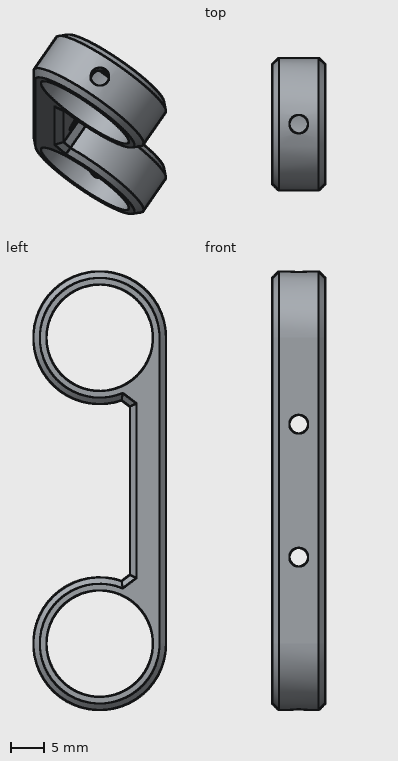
import cadquery as cq
import math

length = 66.0
width = 8.0
ring_diameter = 20.0
bore_diameter = 16.0
bar_thickness = 5.5
edge_chamfer = 1.0

hole_diameter = 2.8
bar_hole_spacing = 20.0

slant_start_y = -3.3
slant_end_offset = 10.35

ring_radius = ring_diameter / 2
ring_z = length / 2 - ring_radius
bar_outer_y = -ring_radius
bar_inner_y = bar_outer_y + bar_thickness
slant_start_z = ring_z - math.sqrt(ring_radius**2 - slant_start_y**2)
slant_end_z = ring_z - slant_end_offset


def make_body():
    """Solid outline of the rings and bar, chamfered around both end faces."""
    outline = (
        cq.Workplane("YZ")
        .workplane(offset=-width / 2)
        .moveTo(bar_outer_y, -ring_z)
        .lineTo(bar_outer_y, ring_z)
        .threePointArc((0, length / 2), (ring_radius, ring_z))
        .threePointArc((0, ring_z - ring_radius), (slant_start_y, slant_start_z))
        .lineTo(bar_inner_y, slant_end_z)
        .lineTo(bar_inner_y, -slant_end_z)
        .lineTo(slant_start_y, -slant_start_z)
        .threePointArc((0, ring_radius - ring_z), (ring_radius, -ring_z))
        .threePointArc((0, -length / 2), (bar_outer_y, -ring_z))
        .close()
    )
    return outline.extrude(width).faces("<X or >X").edges().chamfer(edge_chamfer)


def make_bores():
    """Cylinders for the large bore of each ring."""
    return (
        cq.Workplane("YZ")
        .pushPoints([(0, -ring_z), (0, ring_z)])
        .circle(bore_diameter / 2)
        .extrude(width, both=True)
    )


def make_bar_holes():
    """Cylinders for the two holes through the bar along Y."""
    return (
        cq.Workplane("XZ", origin=(0, bar_inner_y, 0))
        .pushPoints([(0, -bar_hole_spacing / 2), (0, bar_hole_spacing / 2)])
        .circle(hole_diameter / 2)
        .extrude(bar_thickness)
    )


def make_ring_hole(side):
    """Cylinder through the outer wall of one ring; side is +1 (top) or -1 (bottom)."""
    return (
        cq.Workplane("XY", origin=(0, 0, side * ring_z))
        .circle(hole_diameter / 2)
        .extrude(side * ring_radius)
    )


result = make_body().cut(make_bores()).cut(make_bar_holes())
for side in (1, -1):
    result = result.cut(make_ring_hole(side))